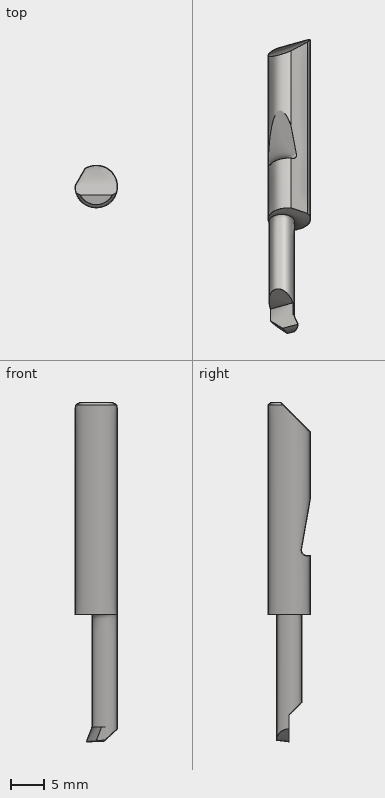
import cadquery as cq
import math

SHANK_DIAMETER = 6.35
SHANK_LENGTH = 31.75
SHANK_RADIUS = SHANK_DIAMETER / 2
TOP_CHAMFER_RADIAL = 0.46
TOP_CHAMFER_HEIGHT = 0.38

FLAT_DISTANCE = 2.80
FLAT_DIRECTION = 150.0

BEVEL_START_Y = -1.28

NOTCH_BOTTOM_Z = 8.80
NOTCH_TOP_Z = 17.40
NOTCH_ANGLE = 10.0
NOTCH_CORNER_RADIUS = 0.85

NECK_DIAMETER = 3.80
NECK_RADIUS = NECK_DIAMETER / 2
NECK_X = SHANK_RADIUS - NECK_RADIUS
TOOL_REACH = 19.045
NECK_BEVEL_Z = -13.10

HEAD_TOP_Z = -16.80
NOSE_OVERHANG = 0.87
POINT_X = NECK_X - NECK_RADIUS - NOSE_OVERHANG
POINT_RADIUS = 0.10
SIDE_RELIEF_ANGLE = 37.0
RELIEF_BULGE = 0.16
END_RELIEF_ANGLE = 6.0
END_EDGE_ANGLE = 1.0
HEEL_START_Z = -17.10
HEEL_ANGLE = 42.5

OVERSIZE = 4 * SHANK_DIAMETER


def prism_along_x(points):
    """Solid with a Y-Z outline, extending past the part on both X sides."""
    return cq.Workplane("YZ").polyline(points).close().extrude(OVERSIZE / 2, both=True)


def make_shank():
    shank = cq.Workplane("XY").circle(SHANK_RADIUS).extrude(SHANK_LENGTH)
    shank = shank.faces(">Z").chamfer(TOP_CHAMFER_HEIGHT, TOP_CHAMFER_RADIAL)

    flat_cutter = (
        cq.Workplane("XY")
        .box(OVERSIZE, OVERSIZE, 2 * OVERSIZE)
        .translate((FLAT_DISTANCE + OVERSIZE / 2, 0, SHANK_LENGTH / 2))
        .rotate((0, 0, 0), (0, 0, 1), FLAT_DIRECTION)
    )
    bevel_cutter = prism_along_x([
        (BEVEL_START_Y, SHANK_LENGTH),
        (BEVEL_START_Y + OVERSIZE, SHANK_LENGTH - OVERSIZE),
        (BEVEL_START_Y + OVERSIZE, SHANK_LENGTH),
    ])
    return shank.cut(flat_cutter).cut(bevel_cutter).cut(make_notch_cutter())


def make_notch_cutter():
    slope = math.tan(math.radians(NOTCH_ANGLE))
    floor_y = SHANK_RADIUS - (NOTCH_TOP_Z - NOTCH_BOTTOM_Z) * slope
    outer_y = SHANK_RADIUS + SHANK_DIAMETER
    notch = prism_along_x([
        (floor_y, NOTCH_BOTTOM_Z),
        (outer_y, NOTCH_BOTTOM_Z),
        (outer_y, NOTCH_TOP_Z),
        (SHANK_RADIUS, NOTCH_TOP_Z),
    ])
    return notch.edges("|X and <Y and <Z").fillet(NOTCH_CORNER_RADIUS)


def make_neck():
    """Round neck; a bevel and a flat on the axis plane leave its -Y half at the end."""
    neck = cq.Workplane("XY").center(NECK_X, 0).circle(NECK_RADIUS).extrude(-TOOL_REACH)
    half_cutter = prism_along_x([
        (NECK_RADIUS, NECK_BEVEL_Z),
        (0, NECK_BEVEL_Z - NECK_RADIUS),
        (0, -OVERSIZE),
        (NECK_RADIUS, -OVERSIZE),
    ])
    return neck.cut(half_cutter)


def make_head():
    """Cutting nose with a convex relief face behind the cutting face at Y = 0."""
    relief_shift = NECK_RADIUS * math.tan(math.radians(SIDE_RELIEF_ANGLE))
    bulge_x = -RELIEF_BULGE * math.cos(math.radians(SIDE_RELIEF_ANGLE))
    bulge_y = -RELIEF_BULGE * math.sin(math.radians(SIDE_RELIEF_ANGLE))

    def section(z, edge_x):
        back_x = edge_x + relief_shift
        middle = ((edge_x + back_x) / 2 + bulge_x, -NECK_RADIUS / 2 + bulge_y)
        return (
            cq.Workplane("XY", origin=(0, 0, z))
            .moveTo(edge_x, 0)
            .threePointArc(middle, (back_x, -NECK_RADIUS))
            .lineTo(NECK_X, -NECK_RADIUS)
            .lineTo(NECK_X, 0)
            .close()
            .wire()
            .val()
        )

    top = section(HEAD_TOP_Z, NECK_X - NECK_RADIUS)
    bottom = section(-TOOL_REACH, POINT_X)
    return cq.Workplane("XY").add(cq.Solid.makeLoft([top, bottom], True))


def make_side_cutter():
    """Block that clears the neck cylinder from around the relieved nose on its -X side."""
    return (
        cq.Workplane("XY")
        .box(OVERSIZE, OVERSIZE, OVERSIZE)
        .translate((NECK_X - OVERSIZE / 2, 0, HEAD_TOP_Z - OVERSIZE / 2))
    )


def make_heel_cutter():
    drop = OVERSIZE * math.tan(math.radians(HEEL_ANGLE))
    return (
        cq.Workplane("XZ")
        .polyline([
            (SHANK_RADIUS, HEEL_START_Z),
            (SHANK_RADIUS - OVERSIZE, HEEL_START_Z - drop),
            (SHANK_RADIUS, HEEL_START_Z - drop),
        ])
        .close()
        .extrude(OVERSIZE / 2, both=True)
    )


def make_end_cutter():
    """Half space under the end face, tilted by the two end angles at the point."""
    return (
        cq.Workplane("XY")
        .box(OVERSIZE, OVERSIZE, OVERSIZE)
        .translate((0, 0, -OVERSIZE / 2))
        .rotate((0, 0, 0), (1, 0, 0), -END_RELIEF_ANGLE)
        .rotate((0, 0, 0), (0, 1, 0), -END_EDGE_ANGLE)
        .translate((POINT_X, 0, -TOOL_REACH))
    )


bar = make_neck().cut(make_side_cutter()).union(make_head())
bar = bar.cut(make_heel_cutter()).cut(make_end_cutter())
point_edge = cq.selectors.NearestToPointSelector((POINT_X, -NECK_RADIUS / 2, -TOOL_REACH))
bar = bar.edges(point_edge).fillet(POINT_RADIUS)
result = make_shank().union(bar)